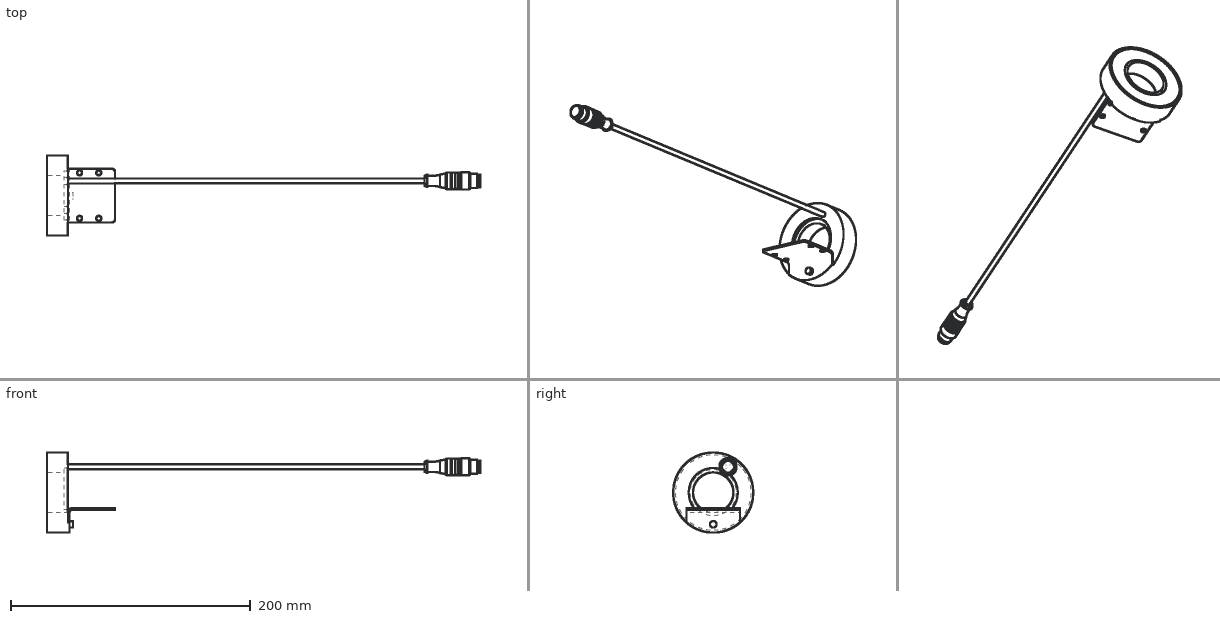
import cadquery as cq
import math

OVERALL_LENGTH = 361.75

RING_DIAMETER = 67.0
RING_THICKNESS = 17.5
BORE_DIAMETER = 33.5
BACK_RECESS_DIAMETER = 41.0
BACK_RECESS_DEPTH = 3.0
BACK_RECESS_BOTTOM_Z = -14.0
WINDOW_OUTER_DIAMETER = 63.0
WINDOW_INNER_DIAMETER = 38.5
WINDOW_DEPTH = 0.2

BRACKET_WIDTH = 45.0
BRACKET_END_X = 57.0
BRACKET_TOP_Z = -13.0
SHEET_THICKNESS = 1.5
BEND_OUTER_RADIUS = 3.5
BEND_INNER_RADIUS = BEND_OUTER_RADIUS - SHEET_THICKNESS
BRACKET_CORNER_RADIUS = 3.0
BRACKET_HOLE_DIAMETER = 4.0
BRACKET_HOLE_SPACING_Y = 38.0
BRACKET_HOLES_X = (27.3, 43.3)

SCREW_HEAD_DIAMETER = 5.5
SCREW_HEAD_HEIGHT = 3.0
SCREW_Z = -26.5

CABLE_DIAMETER = 4.3
CABLE_Y = 12.3
CABLE_Z = 21.5

CONNECTOR_SECTIONS = (
    (2.2, 8.3, 10.3),
    (0.4, 10.7, 10.7),
    (6.3, 8.8, 8.8),
    (4.2, 8.8, 10.3),
    (4.4, 10.7, 12.5),
    (1.2, 12.5, 14.2),
    (10.5, 14.2, 14.2),
    (1.6, 12.0, 12.0),
    (6.4, 14.5, 14.5),
    (1.2, 14.5, 12.0),
    (5.4, 12.0, 12.0),
)
THREAD_LENGTH = 3.0
THREAD_DIAMETER = 10.77
THREAD_ROOT_DIAMETER = 10.0
THREAD_PITCH = 1.0
CONNECTOR_LENGTH = sum(length for length, _, _ in CONNECTOR_SECTIONS) + THREAD_LENGTH
CONNECTOR_X = OVERALL_LENGTH - CONNECTOR_LENGTH

GRIP_INDEX = 6
GRIP_DIAMETER = CONNECTOR_SECTIONS[GRIP_INDEX][1]
GRIP_START_X = CONNECTOR_X + sum(length for length, _, _ in CONNECTOR_SECTIONS[:GRIP_INDEX])
GRIP_LENGTH = CONNECTOR_SECTIONS[GRIP_INDEX][0]
NECK_LENGTH = CONNECTOR_SECTIONS[GRIP_INDEX + 1][0]
GRIP_GROOVES = ((3.6, 1.1), (6.7, 0.4), (9.2, 0.8))
GRIP_GROOVE_DEPTH = 0.7
GRIP_RIB_WIDTH = 3.0
GRIP_RIB_ANGLE = 45.0


def rod(diameter, start_x, length, y=0.0, z=0.0):
    """Cylinder along +X."""
    return cq.Workplane("YZ", origin=(start_x, y, z)).circle(diameter / 2).extrude(length)


def tube(outer_diameter, inner_diameter, start_x, length, y=0.0, z=0.0):
    """Hollow cylinder along +X."""
    profile = cq.Workplane("YZ", origin=(start_x, y, z)).circle(outer_diameter / 2)
    return profile.circle(inner_diameter / 2).extrude(length)


def make_ring():
    ring = tube(RING_DIAMETER, BORE_DIAMETER, 0, RING_THICKNESS)
    window = tube(WINDOW_OUTER_DIAMETER, WINDOW_INNER_DIAMETER, 0, WINDOW_DEPTH)

    recess_x = RING_THICKNESS - BACK_RECESS_DEPTH
    recess_top_z = BACK_RECESS_DIAMETER / 2
    recess_limit = (
        cq.Workplane("XY", origin=(recess_x, 0, BACK_RECESS_BOTTOM_Z))
        .box(
            BACK_RECESS_DEPTH,
            BACK_RECESS_DIAMETER,
            recess_top_z - BACK_RECESS_BOTTOM_Z,
            centered=(False, True, False),
        )
    )
    back_recess = rod(BACK_RECESS_DIAMETER, recess_x, BACK_RECESS_DEPTH).intersect(recess_limit)
    return ring.cut(window).cut(back_recess)


def make_bracket():
    flange_back_x = RING_THICKNESS + SHEET_THICKNESS
    plate_bottom_z = BRACKET_TOP_Z - SHEET_THICKNESS
    bend_x = RING_THICKNESS + BEND_OUTER_RADIUS
    bend_z = BRACKET_TOP_Z - BEND_OUTER_RADIUS
    diagonal = math.sqrt(0.5)
    bracket = (
        cq.Workplane("XZ")
        .moveTo(RING_THICKNESS, -RING_DIAMETER / 2)
        .lineTo(RING_THICKNESS, bend_z)
        .threePointArc(
            (bend_x - BEND_OUTER_RADIUS * diagonal, bend_z + BEND_OUTER_RADIUS * diagonal),
            (bend_x, BRACKET_TOP_Z),
        )
        .lineTo(BRACKET_END_X, BRACKET_TOP_Z)
        .lineTo(BRACKET_END_X, plate_bottom_z)
        .lineTo(bend_x, plate_bottom_z)
        .threePointArc(
            (bend_x - BEND_INNER_RADIUS * diagonal, bend_z + BEND_INNER_RADIUS * diagonal),
            (flange_back_x, bend_z),
        )
        .lineTo(flange_back_x, -RING_DIAMETER / 2)
        .close()
        .extrude(BRACKET_WIDTH / 2, both=True)
    )
    bracket = bracket.edges("|Z and >X").fillet(BRACKET_CORNER_RADIUS)

    bracket = bracket.intersect(rod(RING_DIAMETER, RING_THICKNESS, BRACKET_END_X))

    hole_points = [
        (x, side * BRACKET_HOLE_SPACING_Y / 2) for x in BRACKET_HOLES_X for side in (-1, 1)
    ]
    holes = (
        cq.Workplane("XY", origin=(0, 0, plate_bottom_z))
        .pushPoints(hole_points)
        .circle(BRACKET_HOLE_DIAMETER / 2)
        .extrude(SHEET_THICKNESS)
    )
    return bracket.cut(holes)


def make_screw_head():
    return rod(SCREW_HEAD_DIAMETER, RING_THICKNESS + SHEET_THICKNESS, SCREW_HEAD_HEIGHT, z=SCREW_Z)


def make_cable():
    return rod(CABLE_DIAMETER, RING_THICKNESS, CONNECTOR_X - RING_THICKNESS, CABLE_Y, CABLE_Z)


def make_connector_body():
    """Turned body with the thread cut as plain rings, revolved about the cable axis."""
    outline = [(CONNECTOR_X, 0)]
    x = CONNECTOR_X
    for length, start_diameter, end_diameter in CONNECTOR_SECTIONS:
        section_start = (x, start_diameter / 2)
        if section_start != outline[-1]:
            outline.append(section_start)
        x += length
        outline.append((x, end_diameter / 2))
    for turn in range(int(THREAD_LENGTH / THREAD_PITCH)):
        crest_x = x + turn * THREAD_PITCH
        outline.append((crest_x, THREAD_ROOT_DIAMETER / 2))
        outline.append((crest_x + THREAD_PITCH / 2, THREAD_DIAMETER / 2))
    outline.append((OVERALL_LENGTH, THREAD_ROOT_DIAMETER / 2))
    outline.append((OVERALL_LENGTH, 0))
    profile = cq.Workplane("XY", origin=(0, CABLE_Y, CABLE_Z)).polyline(outline).close()
    return profile.revolve(360, (0, 0, 0), (1, 0, 0))


def make_grip_grooves():
    root_diameter = GRIP_DIAMETER - 2 * GRIP_GROOVE_DEPTH
    grooves = cq.Workplane("XY")
    for offset, width in GRIP_GROOVES:
        start_x = GRIP_START_X + offset - width / 2
        grooves = grooves.add(tube(GRIP_DIAMETER, root_diameter, start_x, width, CABLE_Y, CABLE_Z))
    return grooves.combine()


def make_grip_rib():
    """Strip flush with the grip on its upper -Y side, filling the grooves and the neck."""
    rib_length = GRIP_LENGTH + NECK_LENGTH
    strip = (
        cq.Workplane("XY")
        .box(rib_length, GRIP_RIB_WIDTH, GRIP_DIAMETER, centered=(False, True, False))
        .rotate((0, 0, 0), (1, 0, 0), GRIP_RIB_ANGLE)
        .translate((GRIP_START_X, CABLE_Y, CABLE_Z))
    )
    return strip.intersect(rod(GRIP_DIAMETER, GRIP_START_X, rib_length, CABLE_Y, CABLE_Z))


connector = make_connector_body().cut(make_grip_grooves()).union(make_grip_rib())
result = (
    make_ring()
    .union(make_bracket())
    .union(make_screw_head())
    .union(make_cable())
    .union(connector)
)